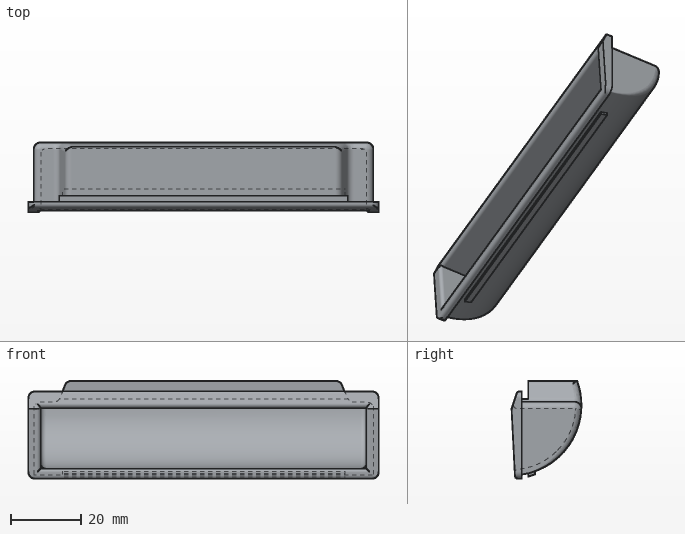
import cadquery as cq
import math

plate_length = 100.0
plate_height = 25.0
plate_corner_radius = 2.0
plate_edge_radius = 1.0
plate_depth = 3.0
crease_height = 20.0
plate_top_depth = 1.35
plate_bottom_depth = 2.0

body_length = 97.0
body_top = 22.0
body_depth = 17.0
body_radius = 20.0
body_axis_y = body_depth - body_radius
body_axis_z = 21.0
body_round = 2.0
rim_round_bottom = 0.2

ridge_top = 28.0
ridge_mid_length = 80.5
ridge_end_lean = 22.5
ridge_round = 2.0

slot_width = 1.75
slot_floor = 22.85

end_wall = 2.0
top_wall = 1.8
back_wall = 1.7
pocket_length = body_length - 2 * end_wall
pocket_top = body_top - top_wall
pocket_radius = body_radius - back_wall
pocket_floor = body_axis_z - math.sqrt(pocket_radius**2 - body_axis_y**2)
pocket_round = 1.5
mouth_round = 1.0

rib_length = ridge_mid_length
rib_width = 2.0
rib_bottom = 0.6
rib_rise = 0.7

margin = 0.01


def prism_along_x(points, length):
    """Solid with the given (Y, Z) outline, centred on X = 0."""
    return cq.Workplane("YZ").polyline(points).close().extrude(length / 2, both=True)


def block(length, y_min, y_max, z_min, z_max):
    """Box centred on X = 0 between the given Y and Z limits."""
    return prism_along_x([(y_min, z_min), (y_max, z_min), (y_max, z_max), (y_min, z_max)], length)


def back_cylinder(radius, length):
    """Cylinder along X, on the axis that the body's back and the pocket share."""
    axis_plane = cq.Workplane("YZ").center(body_axis_y, body_axis_z)
    return axis_plane.circle(radius).extrude(length / 2, both=True)


def make_plate():
    plate = prism_along_x(
        [
            (0, 0),
            (0, plate_height),
            (-plate_top_depth, plate_height),
            (-plate_depth, crease_height),
            (-plate_bottom_depth, 0),
        ],
        plate_length,
    )
    for side in (">Z", "<Z"):
        plate = plate.faces(side).edges("<Y").fillet(plate_edge_radius)
    rounded_outline = block(plate_length, -plate_depth, 0, 0, plate_height)
    rounded_outline = rounded_outline.edges("|Y").fillet(plate_corner_radius)
    return plate.intersect(rounded_outline)


def make_body_prism():
    """Body and ridge outline, with rounded shoulders, extruded straight back from the plate."""
    end_run = (ridge_top - body_top) / 2 * math.tan(math.radians(ridge_end_lean))
    half_body = body_length / 2
    half_foot = ridge_mid_length / 2 + end_run
    half_crest = ridge_mid_length / 2 - end_run
    outline = [
        (-half_body, 0),
        (-half_body, body_top),
        (-half_foot, body_top),
        (-half_crest, ridge_top),
        (half_crest, ridge_top),
        (half_foot, body_top),
        (half_body, body_top),
        (half_body, 0),
    ]
    prism = cq.Workplane("XZ").polyline(outline).close().extrude(-body_depth)
    shoulders_and_feet = cq.selectors.BoxSelector(
        (-half_body - margin, -margin, body_top - margin),
        (half_body + margin, body_depth + margin, body_top + margin),
        boundingbox=True,
    )
    return prism.edges(shoulders_and_feet).edges("|Y").fillet(body_round)


def round_back_rim(body):
    """Round the rim of the cylindrical back up to the ridge, tapering the round down both end arcs."""
    fillet = cq.occ_impl.shapes.BRepFilletAPI_MakeFillet(body.val().wrapped)
    for arc in body.faces("<X or >X").edges("%CIRCLE").vals():
        fillet.Add(body_round, arc.wrapped)
        chain = fillet.Contour(arc.wrapped)
        arc_leads_chain = fillet.Edge(chain, 1).IsSame(arc.wrapped)
        if arc_leads_chain:
            fillet.SetRadius(rim_round_bottom, body_round, chain, 1)
        else:
            fillet.SetRadius(body_round, rim_round_bottom, chain, fillet.NbEdges(chain))
    return cq.Workplane(cq.Shape.cast(fillet.Shape()))


def make_body():
    prism = make_body_prism()
    body = prism.intersect(back_cylinder(body_radius, body_length))
    body = round_back_rim(body)
    rounded_ridge = prism.faces(">Z").edges("|Y").fillet(ridge_round)
    return body.intersect(rounded_ridge)


def make_pocket():
    """Space inside the body, with rounded ends to its cylindrical back."""
    pocket = block(pocket_length, 0, body_depth, 0, pocket_top)
    pocket = pocket.intersect(back_cylinder(pocket_radius, pocket_length))
    return pocket.faces("<X or >X").edges("%CIRCLE").fillet(pocket_round)


def cut_mouth(plate):
    """Open the pocket through the plate and round the edges of the opening on its front."""
    plate = plate.cut(block(pocket_length, -plate_depth, 0, pocket_floor, pocket_top))
    half_length = pocket_length / 2
    around_opening = cq.selectors.BoxSelector(
        (-half_length - margin, -plate_depth - margin, pocket_floor - margin),
        (half_length + margin, -margin, pocket_top + margin),
        boundingbox=True,
    )
    return plate.edges(around_opening).fillet(mouth_round)


def make_rib():
    rib_back = slot_width + rib_width
    rib_root = pocket_floor
    return prism_along_x(
        [
            (slot_width, rib_bottom),
            (rib_back, rib_bottom + rib_rise),
            (rib_back, rib_root),
            (slot_width, rib_root),
        ],
        rib_length,
    )


panel_slot = block(body_length, 0, slot_width, slot_floor, ridge_top)
hollow_body = make_body().union(make_rib()).cut(make_pocket()).cut(panel_slot)
plate = cut_mouth(make_plate())
result = hollow_body.union(plate)